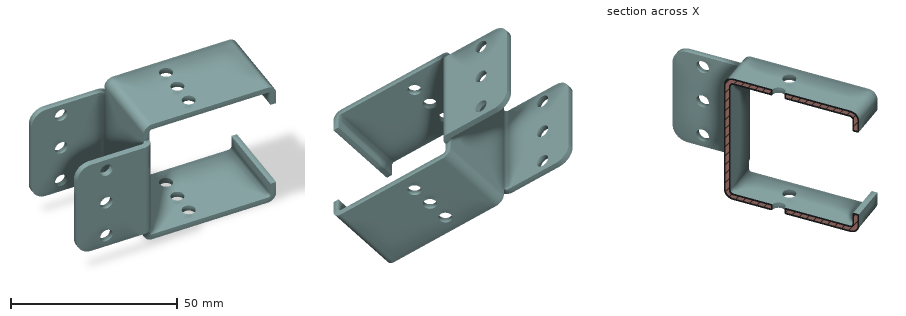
import cadquery as cq

thickness = 1.9
inner_bend_radius = 1.0
outer_bend_radius = inner_bend_radius + thickness

overall_width = 31.8

channel_width = overall_width - 2 * outer_bend_radius
channel_depth = 44.7
channel_height = 44.0
lip_height = 6.9
mouth_height = channel_height - 2 * lip_height

ear_reach = 24.0
ear_height = 33.0
ear_corner_radius = 5.0

hole_diameter = 4.2
hole_count = 3
channel_hole_pitch = 7.5
channel_hole_setback = 18.0
ear_hole_pitch = 12.5
ear_hole_edge_distance = 10.0


def block(width, y_front, y_back, height):
    """Box centred on X and Z, spanning y_front to y_back."""
    return cq.Workplane("XY").box(width, y_back - y_front, height).translate((0, (y_front + y_back) / 2, 0))


def hole_row(pitch):
    """Offsets of an evenly spaced row of holes centred on zero."""
    return [(i - (hole_count - 1) / 2) * pitch for i in range(hole_count)]


def make_channel():
    """C-shaped channel with rounded bends and a row of holes through both flanges."""
    outside = block(channel_width, 0, channel_depth, channel_height)
    outside = outside.edges("|X").fillet(outer_bend_radius)
    inside = block(channel_width, thickness, channel_depth - thickness, channel_height - 2 * thickness)
    inside = inside.edges("|X").fillet(inner_bend_radius)
    mouth = block(channel_width, channel_depth / 2, channel_depth, mouth_height)
    holes = (
        cq.Workplane("XY")
        .pushPoints([(x, channel_hole_setback) for x in hole_row(channel_hole_pitch)])
        .circle(hole_diameter / 2)
        .extrude(channel_height / 2, both=True)
    )
    return outside.cut(inside).cut(mouth).cut(holes)


def make_ears():
    """U-shaped fork whose web lies in the channel wall and whose legs are the drilled ears."""
    outside = block(overall_width, -ear_reach, thickness, ear_height)
    outside = outside.edges("|Z and >Y").fillet(outer_bend_radius)
    outside = outside.edges("|X and <Y").fillet(ear_corner_radius)
    inside = block(overall_width - 2 * thickness, -ear_reach, 0, ear_height)
    inside = inside.edges("|Z and >Y").fillet(inner_bend_radius)
    hole_y = ear_hole_edge_distance - ear_reach
    holes = (
        cq.Workplane("YZ")
        .pushPoints([(hole_y, z) for z in hole_row(ear_hole_pitch)])
        .circle(hole_diameter / 2)
        .extrude(overall_width / 2, both=True)
    )
    return outside.cut(inside).cut(holes)


result = make_channel().union(make_ears()).clean()